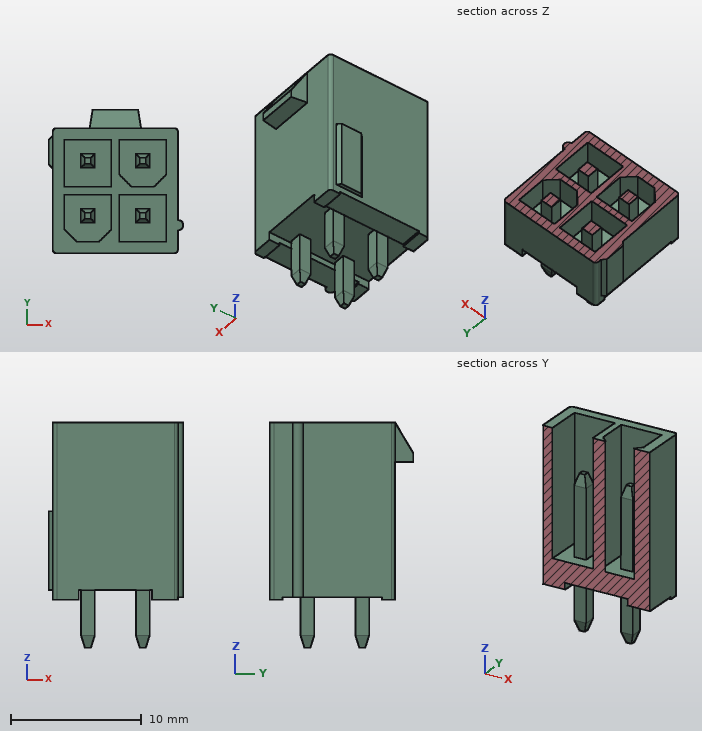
import cadquery as cq

housing_width = 9.6
housing_height = 13.6
corner_radius = 0.3
half_width = housing_width / 2

pitch = 4.2
cavity_width = 3.61
cavity_depth = 11.0
cavity_corner_cut = 0.95
row_positions = (-pitch / 2, pitch / 2)

pin_width = 1.07
pin_tip_width = 0.47
pin_tip_length = 0.95
pin_projection = 3.66
pin_top_recess = 4.0
pin_top_z = housing_height - pin_top_recess
pin_y_shift = 0.19

deep_channel_width = 5.6
deep_channel_depth = 0.76
shallow_channel_width = 7.6
shallow_channel_depth = 0.2

latch_reach = 1.4
latch_base_width = 3.95
latch_end_width = 3.5
latch_height = 3.05
latch_lip_height = 0.7

key_reach = 0.3
key_width = 2.5
key_height = 6.05
key_bottom_z = deep_channel_depth
key_back_inset = 0.6
key_center_y = half_width - key_back_inset - key_width / 2

rib_reach = 0.4
rib_width = 2 * rib_reach
rib_bottom_z = 0.2
rib_front_inset = 2.16
rib_center_y = rib_front_inset - half_width


def make_housing():
    """Solid box with rounded vertical edges."""
    box = cq.Workplane("XY").box(housing_width, housing_width, housing_height, centered=(True, True, False))
    return box.edges("|Z").fillet(corner_radius)


def make_channels():
    """Two crossing grooves in the underside, each running right through."""
    deep = cq.Workplane("XY").box(
        deep_channel_width, housing_width, deep_channel_depth, centered=(True, True, False)
    )
    shallow = cq.Workplane("XY").box(
        housing_width, shallow_channel_width, shallow_channel_depth, centered=(True, True, False)
    )
    return deep.union(shallow)


def make_cavity(x, y, polarised):
    """One cavity; a polarised one has its two -Y corners cut off."""
    cavity = cq.Workplane("XY").box(cavity_width, cavity_width, cavity_depth, centered=(True, True, False))
    if polarised:
        cavity = cavity.edges("|Z and <Y").chamfer(cavity_corner_cut)
    return cavity.translate((x, y, housing_height - cavity_depth))


def make_pin_tip(x, y, base_z, tip_length):
    """Tapered pin end; a negative length points it downwards."""
    return (
        cq.Workplane("XY", origin=(x, y, base_z))
        .rect(pin_width, pin_width)
        .workplane(offset=tip_length)
        .rect(pin_tip_width, pin_tip_width)
        .loft(ruled=True)
    )


def make_pin(x, y):
    """Square shank running through the cavity floor, tapered at both ends."""
    shank_bottom_z = pin_tip_length - pin_projection
    shank_top_z = pin_top_z - pin_tip_length
    shank = (
        cq.Workplane("XY", origin=(x, y, shank_bottom_z))
        .rect(pin_width, pin_width)
        .extrude(shank_top_z - shank_bottom_z)
    )
    lower_tip = make_pin_tip(x, y, shank_bottom_z, -pin_tip_length)
    upper_tip = make_pin_tip(x, y, shank_top_z, pin_tip_length)
    return shank.union(lower_tip).union(upper_tip)


def make_latch():
    """Ramp extruded along X, narrowed by its tapering plan outline."""
    end_y = half_width + latch_reach
    bottom_z = housing_height - latch_height
    profile = (
        cq.Workplane("YZ")
        .polyline([
            (half_width, bottom_z),
            (end_y, bottom_z),
            (end_y, bottom_z + latch_lip_height),
            (half_width, housing_height),
        ])
        .close()
        .extrude(latch_base_width / 2, both=True)
    )
    plan = (
        cq.Workplane("XY", origin=(0, 0, bottom_z))
        .polyline([
            (-latch_base_width / 2, half_width),
            (latch_base_width / 2, half_width),
            (latch_end_width / 2, end_y),
            (-latch_end_width / 2, end_y),
        ])
        .close()
        .extrude(latch_height)
    )
    return profile.intersect(plan)


def make_key():
    """Key whose two long edges slope at 45 degrees down to the wall."""
    half_base = key_width / 2
    half_crest = half_base - key_reach
    return (
        cq.Workplane("XY", origin=(-half_width, key_center_y, key_bottom_z))
        .polyline([
            (0, -half_base),
            (-key_reach, -half_crest),
            (-key_reach, half_crest),
            (0, half_base),
        ])
        .close()
        .extrude(key_height)
    )


def make_rib():
    """Half-round rib running up to the housing's top face."""
    return (
        cq.Workplane("XY", origin=(half_width, rib_center_y, rib_bottom_z))
        .moveTo(0, -rib_width / 2)
        .threePointArc((rib_reach, 0), (0, rib_width / 2))
        .close()
        .extrude(housing_height - rib_bottom_z)
    )


result = make_housing().cut(make_channels())
for cavity_x in row_positions:
    for cavity_y in row_positions:
        result = result.cut(make_cavity(cavity_x, cavity_y, polarised=cavity_x == cavity_y))
        result = result.union(make_pin(cavity_x, cavity_y + pin_y_shift))

result = result.union(make_latch()).union(make_key()).union(make_rib())